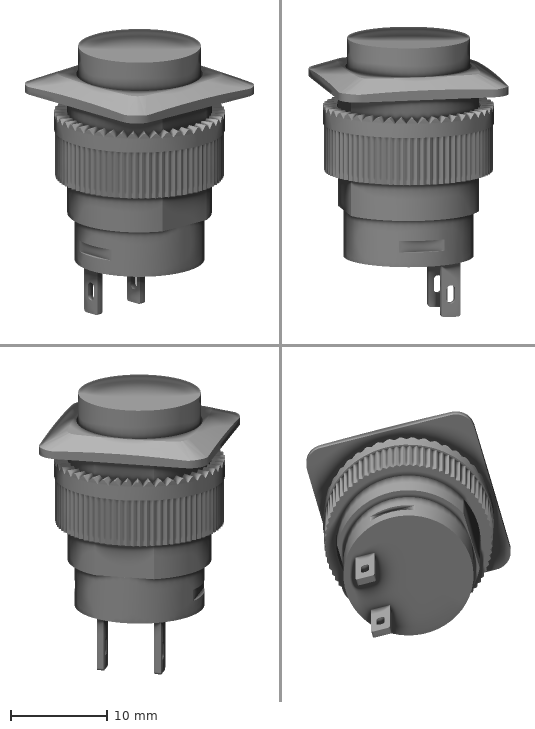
import cadquery as cq
import math

BUTTON_TOP = 5.0
BEZEL_TOP = 2.0
BEZEL_UNDERSIDE = 0.0
NUT_TOP = -2.0
NUT_FLANGE_BOTTOM = -4.0
NUT_BOTTOM = -9.0
BARREL_BOTTOM = -13.0
BASE_BOTTOM = -18.0
TERMINAL_BOTTOM = -24.0

BEZEL_SIZE = 18.0
BEZEL_CORNER_RADIUS = 2.0
CROWN_HALF_WIDTH = 6.8
CROWN_EDGE_RADIUS = 40.0
CROWN_SLOPE_RUN = 2.25
CROWN_RIDGE_RADIUS = 4.0

BUTTON_DIAMETER = 12.75
POCKET_DIAMETER = 13.1
POCKET_FLOOR = 0.0

BARREL_DIAMETER = 15.0
BARREL_ACROSS_FLATS = 13.6
BASE_DIAMETER = 13.5
NOTCH_ACROSS = 12.6
NOTCH_HEIGHT = 1.2
NOTCH_CENTER_Z = -15.85

TERMINAL_WIDTH = 2.0
TERMINAL_THICKNESS = 0.7
TERMINAL_X = -3.75
TERMINAL_Y = 3.05
TERMINAL_TIP_RADIUS = 0.25
EYELET_WIDTH = 0.9
EYELET_LENGTH = 1.9
EYELET_CENTER_Z = -21.62

NUT_FLANGE_DIAMETER = 17.75
KNURL_DIAMETER = 17.5
KNURL_DEPTH = 0.21
KNURL_COUNT = 78
CROWN_TOOTH_COUNT = 45
TOOTH_GAP_WIDTH = 1.0
TOOTH_GAP_DEPTH = 0.55


def cylinder(diameter, bottom, top):
    return cq.Workplane("XY", origin=(0, 0, bottom)).circle(diameter / 2).extrude(top - bottom)


def bowed_square(half_width, edge_radius, z):
    """Closed outline of four outward-bowed arcs whose corners lie on the diagonals."""
    offset = edge_radius - half_width
    corner = (math.sqrt(2 * edge_radius**2 - offset**2) - offset) / 2
    return (
        cq.Workplane("XY", origin=(0, 0, z))
        .moveTo(corner, -corner)
        .threePointArc((half_width, 0), (corner, corner))
        .threePointArc((0, half_width), (-corner, corner))
        .threePointArc((-half_width, 0), (-corner, -corner))
        .threePointArc((0, -half_width), (corner, -corner))
        .close()
    )


def make_bezel():
    """Rounded square plate trimmed by a crown whose bowed faces spread evenly downwards."""
    thickness = BEZEL_TOP - BEZEL_UNDERSIDE
    plate = (
        cq.Workplane("XY", origin=(0, 0, BEZEL_UNDERSIDE))
        .rect(BEZEL_SIZE, BEZEL_SIZE)
        .extrude(thickness)
        .edges("|Z")
        .fillet(BEZEL_CORNER_RADIUS)
    )
    growth = 1 + thickness * CROWN_SLOPE_RUN / CROWN_HALF_WIDTH
    top_outline = bowed_square(CROWN_HALF_WIDTH, CROWN_EDGE_RADIUS, BEZEL_TOP)
    foot_outline = bowed_square(growth * CROWN_HALF_WIDTH, growth * CROWN_EDGE_RADIUS, BEZEL_UNDERSIDE)
    wires = [foot_outline.val(), top_outline.val()]
    crown = cq.Workplane(cq.Solid.makeLoft(wires, ruled=True))
    crown = crown.edges("(not >Z) and (not <Z)").fillet(CROWN_RIDGE_RADIUS)
    return plate.intersect(crown)


def make_terminal(y):
    height = BASE_BOTTOM - TERMINAL_BOTTOM
    blade = (
        cq.Workplane("XY")
        .box(TERMINAL_WIDTH, TERMINAL_THICKNESS, height, centered=(True, True, False))
        .edges("|Y and <Z")
        .fillet(TERMINAL_TIP_RADIUS)
        .translate((TERMINAL_X, y, TERMINAL_BOTTOM))
    )
    eyelet = (
        cq.Workplane("XZ", origin=(TERMINAL_X, y, EYELET_CENTER_Z))
        .slot2D(EYELET_LENGTH, EYELET_WIDTH, 90)
        .extrude(TERMINAL_THICKNESS, both=True)
    )
    return blade.cut(eyelet)


def make_housing():
    """Bezel, flatted barrel, notched base and terminals, with the button pocket cut in the top."""
    barrel = cylinder(BARREL_DIAMETER, BARREL_BOTTOM, BEZEL_UNDERSIDE)
    between_flats = (
        cq.Workplane("XY", origin=(0, 0, BARREL_BOTTOM))
        .rect(BARREL_ACROSS_FLATS, BARREL_DIAMETER)
        .extrude(BEZEL_UNDERSIDE - BARREL_BOTTOM)
    )
    barrel = barrel.intersect(between_flats)
    base = cylinder(BASE_DIAMETER, BASE_BOTTOM, BARREL_BOTTOM)
    for side in (-1, 1):
        notch = cq.Workplane("XY").box(BASE_DIAMETER, NOTCH_ACROSS, NOTCH_HEIGHT)
        base = base.cut(notch.translate((0, side * NOTCH_ACROSS, NOTCH_CENTER_Z)))
    housing = make_bezel().union(barrel).union(base)
    for y in (-TERMINAL_Y, TERMINAL_Y):
        housing = housing.union(make_terminal(y))
    return housing.cut(cylinder(POCKET_DIAMETER, POCKET_FLOOR, BEZEL_TOP))


def make_knurl():
    """Ring of straight V grooves, with a ridge on the -X axis."""
    ridge_radius = KNURL_DIAMETER / 2
    half_pitch = math.pi / KNURL_COUNT
    points = []
    for i in range(2 * KNURL_COUNT):
        radius = ridge_radius - KNURL_DEPTH * (i % 2)
        angle = math.pi + i * half_pitch
        points.append((radius * math.cos(angle), radius * math.sin(angle)))
    height = NUT_FLANGE_BOTTOM - NUT_BOTTOM
    return cq.Workplane("XY", origin=(0, 0, NUT_BOTTOM)).polyline(points).close().extrude(height)


def make_tooth_gaps():
    """Radial V grooves around the top of the nut, the first one on the -X axis."""
    half_gap = TOOTH_GAP_WIDTH / 2
    groove = (
        cq.Workplane("YZ")
        .polyline([(-half_gap, NUT_TOP), (half_gap, NUT_TOP), (0, NUT_TOP - TOOTH_GAP_DEPTH)])
        .close()
        .extrude(-NUT_FLANGE_DIAMETER)
    )
    pitch = 360 / CROWN_TOOTH_COUNT
    return [groove.rotate((0, 0, 0), (0, 0, 1), i * pitch).val() for i in range(CROWN_TOOTH_COUNT)]


def make_nut():
    flange = cylinder(NUT_FLANGE_DIAMETER, NUT_FLANGE_BOTTOM, NUT_TOP)
    bore = cylinder(BARREL_DIAMETER, NUT_BOTTOM, NUT_TOP)
    flange = flange.cut(bore)
    toothed_flange = cq.Workplane(flange.val().cut(*make_tooth_gaps()))
    return make_knurl().cut(bore).union(toothed_flange)


housing = make_housing()
nut = make_nut()
button = cylinder(BUTTON_DIAMETER, POCKET_FLOOR, BUTTON_TOP)

result = cq.Compound.makeCompound([housing.val(), nut.val(), button.val()])